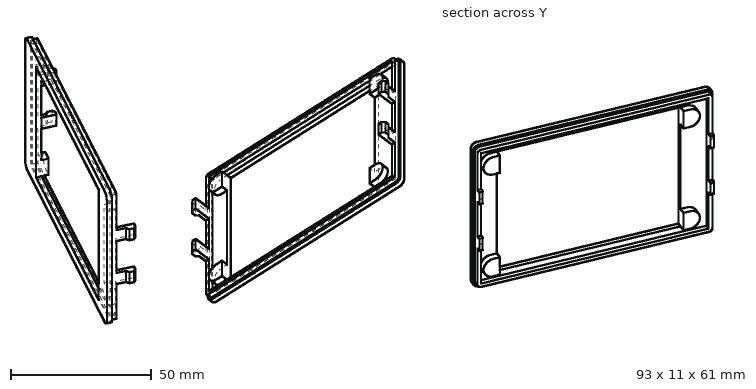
import cadquery as cq

plate_width = 92.8
plate_height = 61.0
plate_thickness = 2.0
corner_radius = 2.4

rim_inset = 0.9
rim_height = 2.0
rim_wall = 1.5

window_width = 71.0
window_height = 51.4
window_shift = 1.55

pad_rise_above_rim = 0.7
pad_height = rim_height + pad_rise_above_rim
pad_radius = 3.75
pad_flat_length = 2.6

overall_width = 93.0
overall_depth = 11.0
clip_length = 5.2
clip_spacing = 20.0
barb_bevel = 0.9
barb_flat = 1.7

rim_width = plate_width - 2 * rim_inset
rim_length = plate_height - 2 * rim_inset


def slab(width, height, thickness, start_y):
    """Rectangular slab centred on the Y axis, growing toward +Y from start_y."""
    block = cq.Workplane("XY").box(width, thickness, height, centered=(True, False, True))
    return block.translate((0, start_y, 0))


def make_plate():
    """Front plate with rounded corners and the window cut through it."""
    plate = slab(plate_width, plate_height, plate_thickness, 0)
    plate = plate.edges("|Y").fillet(corner_radius)
    window = slab(window_width, window_height, plate_thickness, 0)
    return plate.cut(window.translate((window_shift, 0, 0)))


def make_rim():
    """Closed wall of even thickness running around the back of the plate."""
    outer = slab(rim_width, rim_length, rim_height, plate_thickness)
    outer = outer.edges("|Y").fillet(corner_radius - rim_inset)
    inner = slab(rim_width - 2 * rim_wall, rim_length - 2 * rim_wall, rim_height, plate_thickness)
    return outer.cut(inner)


def make_pad(side_x, side_z):
    """Pad flush with the window's side edge and level with its top or bottom edge."""
    edge_x = window_shift + side_x * window_width / 2
    arc_x = edge_x + side_x * pad_flat_length
    end_x = arc_x + side_x * pad_radius
    outer_z = side_z * window_height / 2
    centre_z = outer_z - side_z * pad_radius
    inner_z = outer_z - side_z * 2 * pad_radius
    return (
        cq.Workplane("XZ", origin=(0, plate_thickness, 0))
        .moveTo(edge_x, outer_z)
        .lineTo(arc_x, outer_z)
        .threePointArc((end_x, centre_z), (arc_x, inner_z))
        .lineTo(edge_x, inner_z)
        .close()
        .extrude(-pad_height)
    )


def make_clip(side_x, centre_z):
    """Tongue on the rim wall, equally thick, with a bevelled barb pointing outward along X."""
    outer_x = rim_width / 2
    barb_x = overall_width / 2
    inner_x = outer_x - rim_wall
    barb_top_y = overall_depth - barb_bevel
    barb_bottom_y = barb_top_y - barb_flat
    outline = [
        (inner_x, plate_thickness),
        (outer_x, plate_thickness),
        (outer_x, barb_bottom_y - barb_bevel),
        (barb_x, barb_bottom_y),
        (barb_x, barb_top_y),
        (outer_x, overall_depth),
        (inner_x, overall_depth),
    ]
    mirrored = [(side_x * x, y) for x, y in outline]
    return (
        cq.Workplane("XY", origin=(0, 0, centre_z))
        .polyline(mirrored)
        .close()
        .extrude(clip_length / 2, both=True)
    )


result = make_plate().union(make_rim())
for side_x in (-1, 1):
    for side_z in (-1, 1):
        result = result.union(make_pad(side_x, side_z))
        result = result.union(make_clip(side_x, side_z * clip_spacing / 2))